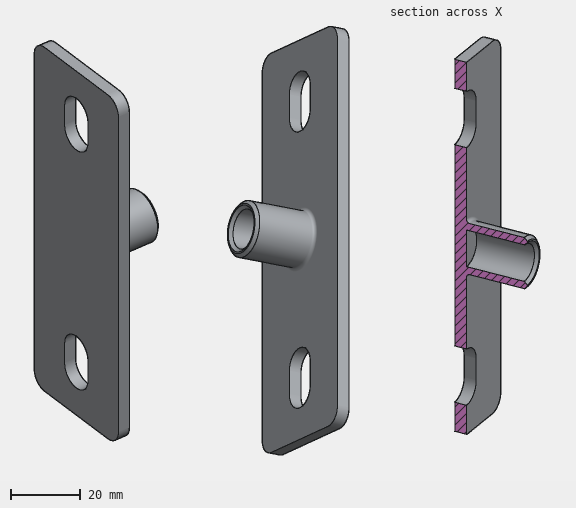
import cadquery as cq

plate_width = 40.0
plate_height = 120.0
plate_thickness = 4.0
corner_radius = 5.0

slot_width = 11.0
slot_length = 18.0
slot_spacing = 83.0

total_depth = 24.0
pin_diameter = 16.66
bore_diameter = 11.66
tip_chamfer = 1.0
root_fillet = 1.0

pin_radius = pin_diameter / 2
bore_radius = bore_diameter / 2


def make_plate():
    """Rounded plate with its front face at Y = 0, centred on the pin axis."""
    plate = cq.Workplane("XY").box(
        plate_width, plate_thickness, plate_height, centered=(True, False, True)
    )
    return plate.edges("|Y").fillet(corner_radius)


def cut_slots(plate):
    """Cut the two through slots, long side along Z."""
    slot_centres = [(0, -slot_spacing / 2), (0, slot_spacing / 2)]
    return (
        plate.faces("<Y")
        .workplane(origin=(0, 0, 0))
        .pushPoints(slot_centres)
        .slot2D(slot_length, slot_width, angle=90)
        .cutThruAll()
    )


def make_pin():
    """Tube revolved about Y, with a concave root fillet and a tip chamfered inside and out.

    The bore is blind: it ends at the plate. The profile starts at Y = 0 so that
    the tube overlaps the plate and merges with it.
    """
    root_radius = pin_radius + root_fillet
    chamfer_start = total_depth - tip_chamfer
    return (
        cq.Workplane("XY")
        .moveTo(bore_radius, 0)
        .lineTo(root_radius, 0)
        .lineTo(root_radius, plate_thickness)
        .radiusArc((pin_radius, plate_thickness + root_fillet), root_fillet)
        .lineTo(pin_radius, chamfer_start)
        .lineTo(pin_radius - tip_chamfer, total_depth)
        .lineTo(bore_radius + tip_chamfer, total_depth)
        .lineTo(bore_radius, chamfer_start)
        .close()
        .revolve(360, (0, 0), (0, 1))
    )


result = cut_slots(make_plate()).union(make_pin())